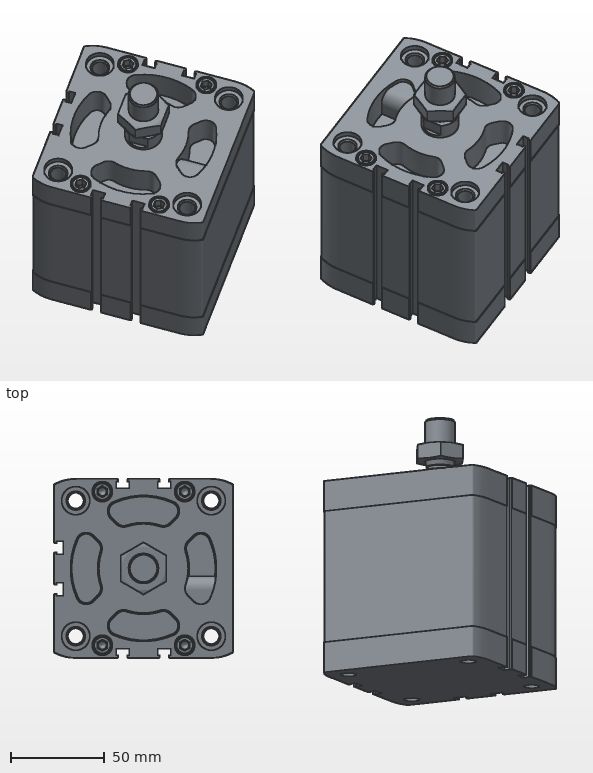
import cadquery as cq
import math

total_height = 141.4
side = 95.5
half_side = side / 2

housing_height = 104.0
cap_height = 16.4
barrel_inset = 0.3
cap_edge_radius = 1.1
barrel_edge_radius = 1.4

corner_radius = 24.0
mount_offset = 36.0

mount_diameter = 8.3
mount_rim_diameter = 10.0
mount_recess_diameter = 15.0
mount_recess_depth = 3.0

screw_x = 21.9
screw_y = 40.9
screw_hole_diameter = 10.7
screw_hole_depth = 8.5
screw_head_diameter = 10.0
screw_rim_diameter = 8.6
screw_head_drop = 0.1
socket_flats = 5.2
socket_depth = 5.0
socket_point_diameter = 4.5
drill_point_angle = 118.0

slot_offset = 11.0
slot_mouth_width = 5.0
slot_width = 6.8
slot_depth = 5.0
slot_lip = 1.5
slot_mouth_chamfer = 0.4

pocket_outer_radius = 38.9
pocket_inner_radius = 28.4
pocket_end_radius = 5.5
pocket_end_step = 3.0
outer_round_y = 13.6
pocket_floor_inset = 0.7
pocket_depth = cap_height
shelf_drop = 2.0
boss_diameter = 14.4
boss_y = -11.5

rod_diameter = 20.0
rod_shoulder_z = 113.4
groove_diameter = 13.5
core_diameter = 14.4
thread_diameter = 16.0
groove_bottom_z = 114.3
groove_top_z = 115.8
core_top_z = 116.1
thread_start_z = 118.9
tip_chamfer_height = 1.0
wrench_flats = 17.0
wrench_flat_z = 106.5
wrench_ramp_drop = 0.8

nut_flats = 24.0
nut_height = 8.5
nut_bottom_z = thread_start_z
nut_face_diameter = 23.2
nut_chamfer_height = 0.5

top_z = housing_height
cap_seam_z = housing_height - cap_height


def block(bottom, height, inset, edge_radius):
    """Square block whose corners sweep into the Y faces with large arcs."""
    half = half_side - inset
    radius = corner_radius - inset
    arc_centre_y = half - radius
    reach = half - mount_offset
    arc_end_y = arc_centre_y + math.sqrt(radius**2 - reach**2)
    half_sweep = math.asin(reach / radius) / 2
    mid_x = mount_offset + radius * math.sin(half_sweep)
    mid_y = arc_centre_y + radius * math.cos(half_sweep)
    return (
        cq.Workplane("XY", origin=(0, 0, bottom))
        .moveTo(-mount_offset, half)
        .lineTo(mount_offset, half)
        .threePointArc((mid_x, mid_y), (half, arc_end_y))
        .lineTo(half, -arc_end_y)
        .threePointArc((mid_x, -mid_y), (mount_offset, -half))
        .lineTo(-mount_offset, -half)
        .threePointArc((-mid_x, -mid_y), (-half, -arc_end_y))
        .lineTo(-half, arc_end_y)
        .threePointArc((-mid_x, mid_y), (-mount_offset, half))
        .close()
        .extrude(height)
        .edges("|Z and (<X or >X)")
        .fillet(edge_radius)
    )


def t_slot(offset, angle):
    """Full-height T-slot cutter in the +X face, turned about Z by the given angle."""
    mouth = slot_mouth_width / 2
    wide = slot_width / 2
    flare = mouth + slot_mouth_chamfer
    lip_x = half_side - slot_lip
    floor_x = half_side - slot_depth
    return (
        cq.Workplane("XY")
        .polyline([
            (half_side, -flare),
            (half_side - slot_mouth_chamfer, -mouth),
            (lip_x, -mouth),
            (lip_x, -wide),
            (floor_x, -wide),
            (floor_x, wide),
            (lip_x, wide),
            (lip_x, mouth),
            (half_side - slot_mouth_chamfer, mouth),
            (half_side, flare),
        ])
        .close()
        .extrude(housing_height)
        .translate((0, offset, 0))
        .rotate((0, 0, 0), (0, 0, 1), angle)
    )


def kidney_wire(inset, z):
    """Closed kidney outline on the +X side, parallel to the rim outline and inside it by the inset."""
    end_radius = pocket_end_radius - inset
    outer_radius = pocket_outer_radius - inset
    inner_radius = pocket_inner_radius + inset

    outer_round_reach = pocket_outer_radius - pocket_end_radius
    outer_round_x = math.sqrt(outer_round_reach**2 - outer_round_y**2)
    inner_round_x = outer_round_x - pocket_end_step
    inner_round_y = outer_round_y - pocket_end_step
    inner_reach = pocket_inner_radius + pocket_end_radius
    bulge_centre_x = inner_round_x - math.sqrt(inner_reach**2 - inner_round_y**2)

    outer_angle = math.atan2(outer_round_y, outer_round_x)
    inner_angle = math.atan2(inner_round_y, inner_round_x - bulge_centre_x)
    straight_angle = math.radians(135)
    outer_mid_angle = (outer_angle + straight_angle) / 2
    inner_mid_angle = (straight_angle + inner_angle + math.pi) / 2

    def outer_round(angle):
        return outer_round_x + end_radius * math.cos(angle), outer_round_y + end_radius * math.sin(angle)

    def inner_round(angle):
        return inner_round_x + end_radius * math.cos(angle), inner_round_y + end_radius * math.sin(angle)

    def mirrored(point):
        return point[0], -point[1]

    outer_join = outer_round(outer_angle)
    inner_join = inner_round(inner_angle + math.pi)
    return (
        cq.Workplane("XY", origin=(0, 0, z))
        .moveTo(*mirrored(outer_join))
        .threePointArc((outer_radius, 0), outer_join)
        .threePointArc(outer_round(outer_mid_angle), outer_round(straight_angle))
        .lineTo(*inner_round(straight_angle))
        .threePointArc(inner_round(inner_mid_angle), inner_join)
        .threePointArc((bulge_centre_x + inner_radius, 0), mirrored(inner_join))
        .threePointArc(mirrored(inner_round(inner_mid_angle)), mirrored(inner_round(straight_angle)))
        .lineTo(*mirrored(outer_round(straight_angle)))
        .threePointArc(mirrored(outer_round(outer_mid_angle)), mirrored(outer_join))
        .close()
        .val()
    )


def kidney_pocket():
    """Pocket cutter on the +X side, narrowing from the top face to its floor."""
    floor_wire = kidney_wire(pocket_floor_inset, top_z - pocket_depth)
    rim_wire = kidney_wire(0, top_z)
    return cq.Workplane(cq.Solid.makeLoft([floor_wire, rim_wire], True))


def port_boss():
    """Round-shouldered boss that fills the -Y end of the +X pocket up to a shelf."""
    radius = boss_diameter / 2
    shelf_z = top_z - shelf_drop
    floor_z = top_z - pocket_depth
    end_y = -half_side
    return (
        cq.Workplane("YZ")
        .moveTo(boss_y + radius, floor_z)
        .lineTo(boss_y + radius, shelf_z - radius)
        .radiusArc((boss_y, shelf_z), -radius)
        .lineTo(end_y, shelf_z)
        .lineTo(end_y, floor_z)
        .close()
        .extrude(half_side)
    )


def mounting_hole():
    """Through hole with a chamfered rim at the floor of a round recess."""
    rim_chamfer = (mount_rim_diameter - mount_diameter) / 2
    recess_z = top_z - mount_recess_depth
    return (
        cq.Workplane("XZ")
        .polyline([
            (0, 0),
            (mount_diameter / 2, 0),
            (mount_diameter / 2, recess_z - rim_chamfer),
            (mount_rim_diameter / 2, recess_z),
            (mount_recess_diameter / 2, recess_z),
            (mount_recess_diameter / 2, top_z),
            (0, top_z),
        ])
        .close()
        .revolve(360, (0, 0, 0), (0, 1, 0))
    )


def screw_head():
    """Chamfered socket head standing on the floor of its hole."""
    rim_chamfer = (screw_head_diameter - screw_rim_diameter) / 2
    head_z = top_z - screw_head_drop
    socket_z = head_z - socket_depth
    socket_diameter = socket_flats / math.cos(math.radians(30))
    point_radius = socket_point_diameter / 2
    point_depth = point_radius / math.tan(math.radians(drill_point_angle / 2))
    head = (
        cq.Workplane("XY", origin=(0, 0, top_z - screw_hole_depth))
        .circle(screw_head_diameter / 2)
        .extrude(screw_hole_depth - screw_head_drop)
        .faces(">Z")
        .chamfer(rim_chamfer)
    )
    socket = (
        cq.Workplane("XY", origin=(0, 0, socket_z))
        .transformed(rotate=(0, 0, 30))
        .polygon(6, socket_diameter)
        .extrude(socket_depth)
    )
    point = cq.Workplane(cq.Solid.makeCone(
        point_radius, 0, point_depth, pnt=cq.Vector(0, 0, socket_z), dir=cq.Vector(0, 0, -1)
    ))
    return head.cut(socket).cut(point)


def screw_hole():
    return (
        cq.Workplane("XY", origin=(0, 0, top_z))
        .circle(screw_hole_diameter / 2)
        .extrude(-screw_hole_depth)
    )


def make_housing():
    barrel_height = housing_height - 2 * cap_height
    body = block(0, cap_height, 0, cap_edge_radius)
    body = body.union(block(cap_height, barrel_height, barrel_inset, barrel_edge_radius))
    body = body.union(block(cap_seam_z, cap_height, 0, cap_edge_radius))

    for angle in (90, 180, 270):
        for offset in (-slot_offset, slot_offset):
            body = body.cut(t_slot(offset, angle))

    for angle in (90, 180, 270):
        body = body.cut(kidney_pocket().rotate((0, 0, 0), (0, 0, 1), angle))
    body = body.cut(kidney_pocket().cut(port_boss()))

    for x_sign in (-1, 1):
        for y_sign in (-1, 1):
            body = body.cut(mounting_hole().translate((x_sign * mount_offset, y_sign * mount_offset, 0)))
            screw_place = (x_sign * screw_x, y_sign * screw_y, 0)
            body = body.cut(screw_hole().translate(screw_place))
            body = body.union(screw_head().translate(screw_place))

    seat = (
        cq.Workplane("XY", origin=(0, 0, cap_seam_z))
        .circle(rod_diameter / 2)
        .extrude(cap_height)
    )
    return body.cut(seat)


def wrench_flat_cutter():
    """Cutter for the +Y wrench flat, with a ramp running out at its lower end."""
    flat_y = wrench_flats / 2
    outer_y = rod_diameter / 2
    return (
        cq.Workplane("YZ")
        .polyline([
            (flat_y, rod_shoulder_z),
            (flat_y, wrench_flat_z),
            (outer_y, wrench_flat_z - wrench_ramp_drop),
            (outer_y, rod_shoulder_z),
        ])
        .close()
        .extrude(rod_diameter / 2, both=True)
    )


def make_rod():
    rod = (
        cq.Workplane("XZ")
        .polyline([
            (0, cap_seam_z),
            (rod_diameter / 2, cap_seam_z),
            (rod_diameter / 2, rod_shoulder_z),
            (core_diameter / 2, rod_shoulder_z),
            (groove_diameter / 2, groove_bottom_z),
            (groove_diameter / 2, groove_top_z),
            (core_diameter / 2, core_top_z),
            (thread_diameter / 2, thread_start_z),
            (thread_diameter / 2, total_height - tip_chamfer_height),
            (core_diameter / 2, total_height),
            (0, total_height),
        ])
        .close()
        .revolve(360, (0, 0, 0), (0, 1, 0))
    )
    flat = wrench_flat_cutter()
    return rod.cut(flat).cut(flat.mirror("XZ"))


def make_nut():
    corner_diameter = nut_flats / math.cos(math.radians(30))
    nut = (
        cq.Workplane("XY", origin=(0, 0, nut_bottom_z))
        .transformed(rotate=(0, 0, 30))
        .polygon(6, corner_diameter)
        .circle(thread_diameter / 2)
        .extrude(nut_height)
    )
    face_radius = nut_face_diameter / 2
    corner_radius_of_nut = corner_diameter / 2
    envelope = (
        cq.Workplane("XZ")
        .polyline([
            (0, nut_bottom_z),
            (face_radius, nut_bottom_z),
            (corner_radius_of_nut, nut_bottom_z + nut_chamfer_height),
            (corner_radius_of_nut, nut_bottom_z + nut_height - nut_chamfer_height),
            (face_radius, nut_bottom_z + nut_height),
            (0, nut_bottom_z + nut_height),
        ])
        .close()
        .revolve(360, (0, 0, 0), (0, 1, 0))
    )
    return nut.intersect(envelope)


housing = make_housing()
rod = make_rod()
nut = make_nut()

result = cq.Compound.makeCompound([housing.val(), rod.val(), nut.val()])